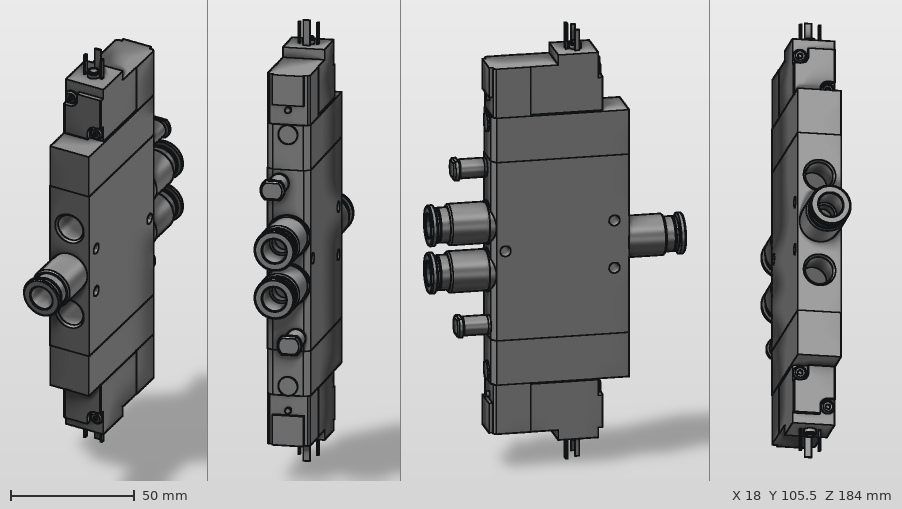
import cadquery as cq


length = 184.0
housing_width = 18.0
housing_half_length = 37.7
housing_depth = 56.7
body_bevel_x = 2.5
body_bevel_y = 1.8

port_pitch = 20.0
exhaust_diameter = 11.5
exhaust_mouth_diameter = 13.2
exhaust_depth = 14.7
seat_diameter = 17.8
seat_face_y = 57.5
outlet_heights = (port_pitch / 2, -port_pitch / 2)

mount_hole_diameter = 4.5
front_mount_y = 6.0
rear_mount_y = 51.2

cap_width = 17.8
cap_end = 56.5
override_diameter = 8.0

adapter_width = 17.7
adapter_rear_y = 56.0
adapter_bevel = 1.0
adapter_front_y = 40.7
coil_width = 17.3
coil_gap = 0.5
coil_front_y = 11.0
coil_top = 77.3
turret_top = 81.5
turret_rear_y = 29.3
turret_front_y = 12.7
cover_width = 16.2
cover_front_y = 10.7
cover_bottom = 57.2
screw_diameter = 5.5
screw_socket_diameter = 2.0
screw_head_height = 1.3
screw_head_bevel = 0.7
screw_socket_depth = 1.0
screw_x = 5.7
screw_pocket_reach = 3.3
upper_screw_z = 74.2
lower_screw_z = 60.4
label_width = 12.9
label_bottom = 64.8
button_diameter = 2.4
button_z = 62.7

plug_y = 20.5
plug_stack = ((5.0, 1.7), (3.3, 0.7), (4.0, 0.2))
blade_thickness = 0.7
contact_width = 1.7
contact_x = 3.9
contact_top = 90.2
earth_width = 2.8
earth_y = 24.1

fitting_base_diameter = 16.4
fitting_diameter = 17.0
sleeve_diameter = 14.4
groove_diameter = 13.2
neck_diameter = 11.5
flange_diameter = 16.7
tube_bore = 10.0
tube_mouth_bevel = 0.4
tube_stop_depth = 12.9
flow_bore = 8.0
flow_bore_depth = 18.4
base_end = 1.5
barrel_end = 16.0
groove_start = 19.7
groove_end = 20.2
sleeve_end = 21.2
neck_end = 21.9
fitting_length = 24.0
fitting_edge = 0.7
flange_edge = 0.5

small_x = 3.5
small_z = 32.2
small_base_diameter = 7.7
small_diameter = 8.0
small_neck_diameter = 5.5
small_flange_diameter = 10.0
small_base_end = 1.1
small_barrel_end = 11.0
small_neck_end = 11.8
small_length = 14.0
small_edge = 0.7


def block(x_range, y_range, z_range):
    """Box between the given limits on each axis."""
    (x0, x1), (y0, y1), (z0, z1) = x_range, y_range, z_range
    return cq.Workplane("XY").box(x1 - x0, y1 - y0, z1 - z0, centered=False).translate((x0, y0, z0))


def centered_block(width, y_range, z_range):
    """Box that is symmetric about the YZ plane."""
    return block((-width / 2, width / 2), y_range, z_range)


def rod_y(diameter, y_start, y_end, x=0.0, z=0.0):
    """Cylinder along +Y."""
    return cq.Workplane(cq.Solid.makeCylinder(
        diameter / 2, y_end - y_start, cq.Vector(x, y_start, z), cq.Vector(0, 1, 0)))


def bevelled_block(width, y_range, z_range, bevel_x, bevel_y):
    """Box along Z with both corners of its +Y face bevelled."""
    front, rear = y_range
    half = width / 2
    outline = [
        (-half, front), (half, front), (half, rear - bevel_y), (half - bevel_x, rear),
        (bevel_x - half, rear), (-half, rear - bevel_y)]
    bottom, top = z_range
    return cq.Workplane("XY").polyline(outline).close().extrude(top - bottom).translate((0, 0, bottom))


def turn_over(shape):
    """Place the upper-end shape at the lower end."""
    return shape.rotate((0, 0, 0), (0, 1, 0), 180)


def make_housing():
    body = bevelled_block(
        housing_width, (0, housing_depth), (-housing_half_length, housing_half_length),
        body_bevel_x, body_bevel_y)

    for z in outlet_heights:
        body = body.union(rod_y(seat_diameter, housing_depth - body_bevel_y, seat_face_y, z=z))

    mouth_depth = (exhaust_mouth_diameter - exhaust_diameter) / 2
    for z in (port_pitch, -port_pitch):
        mouth = cq.Workplane(cq.Solid.makeCone(
            exhaust_mouth_diameter / 2, exhaust_diameter / 2, mouth_depth,
            cq.Vector(0, 0, z), cq.Vector(0, 1, 0)))
        body = body.cut(rod_y(exhaust_diameter, 0, exhaust_depth, z=z)).cut(mouth)

    mount_places = [(front_mount_y, port_pitch / 2), (front_mount_y, -port_pitch / 2), (rear_mount_y, 0)]
    holes = (cq.Workplane("YZ").pushPoints(mount_places)
             .circle(mount_hole_diameter / 2).extrude(housing_width, both=True))
    return body.cut(holes)


def add_screw(coil, side, screw_z):
    """Cut a screw pocket that runs out over a corner of the coil front, and fill in the screw head.

    side is -1 for the upper screw near -X and +1 for the lower screw near +X.
    """
    x = side * screw_x
    inner_x = x - side * screw_pocket_reach
    outer_x = side * coil_width
    inner_z = screw_z + side * screw_pocket_reach
    outer_z = coil_top if side < 0 else cap_end
    pocket = block(sorted((inner_x, outer_x)), (0, turret_front_y), sorted((inner_z, outer_z)))
    inner_edge = cq.NearestToPointSelector((inner_x, turret_front_y / 2, inner_z))
    pocket = pocket.edges("|Y").edges(inner_edge).fillet(screw_pocket_reach)
    head_front = turret_front_y - screw_head_height
    head = rod_y(screw_diameter, head_front, turret_front_y, x, screw_z)
    head = head.faces("<Y").chamfer(screw_head_bevel)
    socket = rod_y(screw_socket_diameter, head_front, head_front + screw_socket_depth, x, screw_z)
    return coil.cut(pocket).union(head).cut(socket)


def make_connector():
    """Round plug base with two contact blades and one earth blade."""
    z = turret_top
    plug = None
    for diameter, height in plug_stack:
        step = cq.Workplane("XY", origin=(0, plug_y, z)).circle(diameter / 2).extrude(height)
        plug = step if plug is None else plug.union(step)
        z += height
    for x in (-contact_x, contact_x):
        plug = plug.union(block(
            (x - blade_thickness / 2, x + blade_thickness / 2),
            (plug_y - contact_width / 2, plug_y + contact_width / 2),
            (turret_top, contact_top)))
    return plug.union(centered_block(
        earth_width, (earth_y - blade_thickness / 2, earth_y + blade_thickness / 2),
        (turret_top, length / 2)))


def make_end_cap():
    """Upper end cap with the override disc level with its outer end."""
    cap = bevelled_block(
        cap_width, (0, housing_depth), (housing_half_length, cap_end), body_bevel_x, body_bevel_y)
    return cap.union(rod_y(
        override_diameter, housing_depth - body_bevel_y, seat_face_y, z=cap_end - override_diameter / 2))


def make_pilot_head():
    """Upper pilot head in one piece: end cap, adapter, coil and connector."""
    adapter = bevelled_block(
        adapter_width, (adapter_front_y, adapter_rear_y), (cap_end, coil_top), adapter_bevel, adapter_bevel)
    coil_bottom = cap_end + coil_gap
    coil = centered_block(coil_width, (coil_front_y, adapter_front_y), (coil_bottom, coil_top))
    coil = coil.union(centered_block(
        cover_width, (cover_front_y, coil_front_y), (cover_bottom, coil_top)))
    coil = add_screw(coil, -1, upper_screw_z)
    coil = add_screw(coil, 1, lower_screw_z)
    turret = centered_block(coil_width, (turret_front_y, turret_rear_y), (coil_bottom, turret_top))
    label = centered_block(label_width, (adapter_rear_y, seat_face_y), (label_bottom, coil_top))
    button = rod_y(button_diameter, adapter_rear_y, seat_face_y, z=button_z)
    head = make_end_cap()
    for piece in (adapter, coil, turret, label, button, make_connector()):
        head = head.union(piece)
    return head


def make_fitting():
    """Large push-in fitting along +Y, seated on the plane Y = 0."""
    base, barrel, sleeve, groove, neck, flange, tube, flow = (diameter / 2 for diameter in (
        fitting_base_diameter, fitting_diameter, sleeve_diameter, groove_diameter, neck_diameter,
        flange_diameter, tube_bore, flow_bore))
    tube_stop = fitting_length - tube_stop_depth
    flow_floor = fitting_length - flow_bore_depth
    profile = [
        (0, 0), (base, 0), (barrel, base_end), (barrel, barrel_end - fitting_edge),
        (barrel - fitting_edge, barrel_end), (sleeve, barrel_end),
        (sleeve, groove_start), (groove, groove_start), (groove, groove_end), (sleeve, groove_end),
        (sleeve, sleeve_end), (neck, sleeve_end), (neck, neck_end), (flange, neck_end),
        (flange, fitting_length - flange_edge), (flange - flange_edge, fitting_length),
        (tube + tube_mouth_bevel, fitting_length), (tube, fitting_length - tube_mouth_bevel),
        (tube, tube_stop), (flow, tube_stop), (flow, flow_floor), (0, flow_floor)]
    return cq.Workplane("XY").polyline(profile).close().revolve(360, (0, 0, 0), (0, 1, 0))


def make_small_fitting():
    """Small push-in fitting for the upper end, with an oval release flange."""
    y0 = housing_depth
    fitting = rod_y(small_base_diameter, y0, y0 + small_base_end)
    fitting = fitting.union(rod_y(small_diameter, y0 + small_base_end, y0 + small_barrel_end))
    fitting = fitting.union(rod_y(small_neck_diameter, y0 + small_barrel_end, y0 + small_neck_end))
    flange = rod_y(small_flange_diameter, y0 + small_neck_end, y0 + small_length)
    flats = centered_block(
        small_flange_diameter, (y0, y0 + small_length), (-small_diameter / 2, small_diameter / 2))
    flange = flange.intersect(flats).faces(">Y").chamfer(small_edge)
    return fitting.union(flange).translate((small_x, 0, small_z))


housing = make_housing()

upper_head = make_pilot_head()
pilot_heads = [upper_head, turn_over(upper_head)]

supply_fitting = make_fitting().rotate((0, 0, 0), (0, 0, 1), 180)
large_fittings = [supply_fitting]
for outlet_z in outlet_heights:
    large_fittings.append(make_fitting().translate((0, seat_face_y, outlet_z)))

upper_small_fitting = make_small_fitting()
small_fittings = [upper_small_fitting, turn_over(upper_small_fitting)]

result = cq.Compound.makeCompound(
    [body.val() for body in [housing, *pilot_heads, *large_fittings, *small_fittings]])